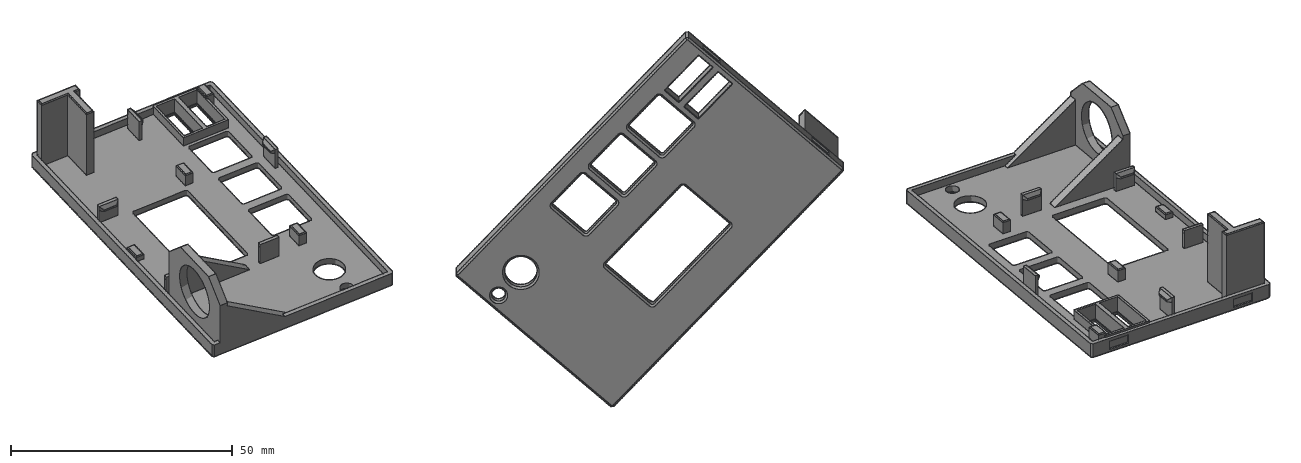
import cadquery as cq
length = 78.0
width = 48.0
rim_height = 4.0
wall = 1.0
floor = 2.0
root = floor / 2
edge_chamfer = 0.5
cutter_margin = 0.8

corner_radius = 0.55
key_size = 10.6
key_pitch = 12.8
key_count = 3
first_key_x = 20.0
key_y = 37.9
display_x = 40.3
display_y = 17.3
display_length = 26.4
display_width = 14.6
large_hole_diameter = 7.3
small_hole_diameter = 3.1
large_hole_x = 67.4
small_hole_x = 74.9
round_holes_y = 37.45

frame_left = 0.8
frame_front = 31.9
frame_length = 13.1
frame_width = 11.9
frame_top = 4.45
slot_length = 11.9
slot_width = 4.8
slot_ledge = 0.2
slot_pitch = 5.9
ledge_top = 0.55

block_top = 5.2
low_block_top = 3.5
block_length = 4.05
block_width = 2.0
top_chamfer = 0.2

clip_length = 5.0
clip_thickness = 0.8
hook_reach = 0.8
hook_nose = 0.5
tall_clip_top = 7.65
short_clip_top = 6.8

post_top = 20.3
post_left = 1.0
post_front = 1.1
post_flange_length = 10.15
post_flange_thickness = 1.95
post_web_end = 11.0
post_web_thickness = 1.95
post_web_y = 9.0

bracket_length = 22.0
bracket_front = 1.95
bracket_thickness = 1.95
bracket_top = 20.0
bracket_corner = 5.0
bracket_bore = 12.8
bore_height = 11.1
gusset_thickness = 2.1
gusset_end = 22.1
gusset_top = 14.05

recess_length = 5.1
recess_height = 2.2
recess_bottom = 1.0
recess_depth = 0.5
recess_centers_y = (7.4, 40.55)


def box(x, y, z, dx, dy, dz):
    """Box given by its lowest corner and its sizes."""
    return cq.Workplane("XY").box(dx, dy, dz, centered=False).translate((x, y, z))


def tray():
    body = box(0, 0, 0, length, width, rim_height)
    body = body.edges("|Z").chamfer(edge_chamfer).faces("<Z").edges().chamfer(edge_chamfer)
    return body.cut(box(wall, wall, floor, length - 2 * wall, width - 2 * wall, rim_height))


def opening(outline):
    """Cutter through the floor that flares out at the underside; outline(growth) draws its shape."""
    shaft = outline(0).extrude(floor + cutter_margin)
    flare = outline(edge_chamfer).extrude(edge_chamfer, taper=45)
    return shaft.union(flare)


def window(x, y, dx, dy):
    """Cutter for a rounded rectangular opening centred on (x, y)."""

    def outline(growth):
        sketch = cq.Sketch().rect(dx + 2 * growth, dy + 2 * growth).vertices().fillet(corner_radius + growth)
        return cq.Workplane("XY", origin=(x, y, 0)).placeSketch(sketch)

    return opening(outline)


def round_hole(x, diameter):
    """Cutter for a round opening."""

    def outline(growth):
        return cq.Workplane("XY", origin=(x, round_holes_y, 0)).circle(diameter / 2 + growth)

    return opening(outline)


def connector_frame():
    return box(frame_left, frame_front, 0, frame_length, frame_width, frame_top)


def connector_slot(side):
    """Stepped cutter: a pocket down to a narrow ledge and a smaller opening below it."""
    x = frame_left + frame_length / 2 - slot_length / 2
    y = frame_front + frame_width / 2 + side * slot_pitch / 2 - slot_width / 2
    pocket = box(x, y, ledge_top, slot_length, slot_width, frame_top)
    through = box(
        x + slot_ledge,
        y + slot_ledge,
        -cutter_margin,
        slot_length - 2 * slot_ledge,
        slot_width - 2 * slot_ledge,
        frame_top,
    )
    return pocket.union(through)


def support_block(x, y, top):
    """Low block with bevelled top edges, placed by its front left corner."""
    block = box(x, y, root, block_length, block_width, top - root)
    return block.faces(">Z").edges().chamfer(top_chamfer)


def clip(x, y, angle, top):
    """Clip plate centred on (x, y) at its hooked face; the hook points to +X turned by angle."""
    plate = box(-clip_thickness, -clip_length / 2, root, clip_thickness, clip_length, top - root)
    nose_half = clip_length / 2 - hook_reach
    nose_top = top - hook_reach
    nose_bottom = nose_top - hook_nose
    hook = (
        cq.Workplane("XZ")
        .polyline([(0, top), (hook_reach, nose_top), (hook_reach, nose_bottom), (0, nose_bottom)])
        .close()
        .extrude(clip_length / 2, both=True)
    )
    taper = (
        cq.Workplane("XY")
        .polyline(
            [(0, -clip_length / 2), (hook_reach, -nose_half), (hook_reach, nose_half), (0, clip_length / 2)]
        )
        .close()
        .extrude(top)
    )
    whole = plate.union(hook.intersect(taper))
    return whole.rotate((0, 0, 0), (0, 0, 1), angle).translate((x, y, 0))


def post():
    height = post_top - root
    flange = box(post_left, post_front, root, post_flange_thickness, post_flange_length, height)
    web = box(
        post_left,
        post_web_y - post_web_thickness / 2,
        root,
        post_web_end - post_left,
        post_web_thickness,
        height,
    )
    return flange.union(web).faces(">Z").edges().chamfer(top_chamfer)


def bracket():
    left = length - bracket_length
    back = bracket_front + bracket_thickness
    shoulder = bracket_top - bracket_corner
    plate = (
        cq.Workplane("XZ", origin=(0, back, 0))
        .polyline(
            [
                (left, edge_chamfer),
                (length, edge_chamfer),
                (length, shoulder),
                (length - bracket_corner, bracket_top),
                (left + bracket_corner, bracket_top),
                (left, shoulder),
            ]
        )
        .close()
        .extrude(bracket_thickness)
    )
    bore = (
        cq.Workplane("XZ", origin=(left + bracket_length / 2, back + cutter_margin, bore_height))
        .circle(bracket_bore / 2)
        .extrude(bracket_thickness + 2 * cutter_margin)
    )
    body = plate.cut(bore)
    for gusset_left in (left, length - gusset_thickness):
        gusset = (
            cq.Workplane("YZ", origin=(gusset_left, 0, 0))
            .polyline(
                [(back, edge_chamfer), (gusset_end, edge_chamfer), (gusset_end, floor), (back, gusset_top)]
            )
            .close()
            .extrude(gusset_thickness)
        )
        body = body.union(gusset)
    return body


result = tray().union(connector_frame())
for side in (-1, 1):
    result = result.cut(connector_slot(side))

for index in range(key_count):
    result = result.cut(window(first_key_x + index * key_pitch, key_y, key_size, key_size))
result = result.cut(window(display_x, display_y, display_length, display_width))
result = result.cut(round_hole(large_hole_x, large_hole_diameter))
result = result.cut(round_hole(small_hole_x, small_hole_diameter))

for x, y, top in (
    (1.0, 43.4, block_top),
    (21.8, 25.0, block_top),
    (52.9, 35.9, block_top),
    (38.3, 1.8, low_block_top),
):
    result = result.union(support_block(x, y, top))

for x, y, angle, top in (
    (28.85, 45.4, -90, tall_clip_top),
    (4.5, 25.2, 90, tall_clip_top),
    (56.8, 27.7, 180, tall_clip_top),
    (26.45, 4.3, 0, short_clip_top),
    (54.4, 4.3, 180, short_clip_top),
):
    result = result.union(clip(x, y, angle, top))

result = result.union(post()).union(bracket())

for center_y in recess_centers_y:
    result = result.cut(
        box(0, center_y - recess_length / 2, recess_bottom, recess_depth, recess_length, recess_height)
    )